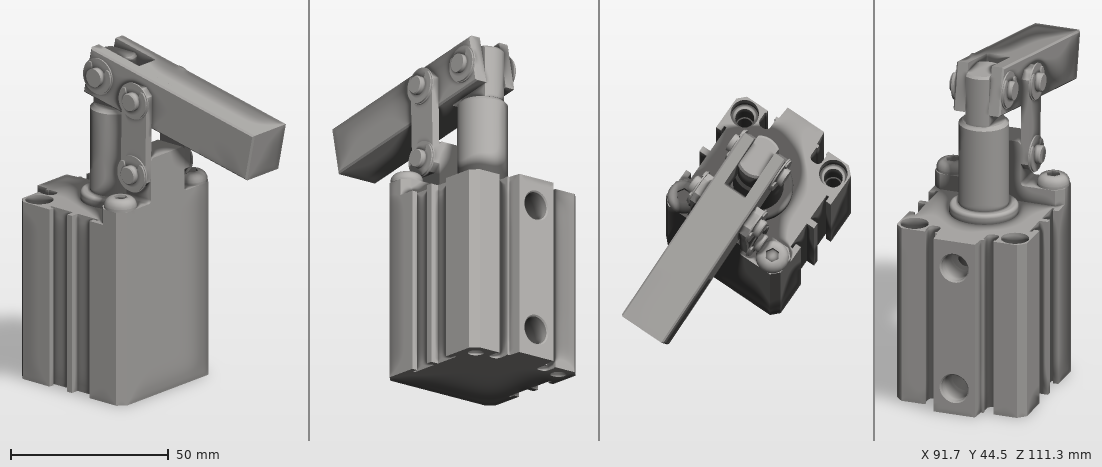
import cadquery as cq
import math


BODY_HALF = 22.0
BODY_HEIGHT = 59.4
BODY_CHAMFER = 2.5
BOLT_OFFSET = 17.0
PORT_FACE_X = -26.5
PORT_FACE_HALF = 7.0
PORT_ROOT_HALF = 7.3
PORT_HEIGHTS = (8.9, 50.3)
PORT_DIAMETER = 9.0
PORT_CHAMFER = 0.5
PORT_DEPTH = 9.8
DRILL_POINT_HALF_ANGLE = 59

T_SLOT_HALF_OPENING = 8.3
T_SLOT_HALF_WIDTH = 10.1
T_SLOT_DEPTH = 2.8
T_SLOT_LIP = 1.9
T_SLOT_RIB = 2.0

SENSOR_SLOT_Y = 9.9
SENSOR_SLOT_WIDTH = 4.1
SENSOR_SLOT_OPENING = 3.3
SENSOR_SLOT_LIP = 1.0
SENSOR_SLOT_DEPTH = 5.5
SENSOR_SLOT_RADIUS = 1.7

COUNTERBORE_DIAMETER = 9.0
COUNTERBORE_DEPTH = 7.0
THREAD_DIAMETER = 6.0
THREAD_DEPTH = 20.0
MOUNT_HOLE_DIAMETER = 5.1

BORE_DIAMETER = 32.0
BORE_BOTTOM = 9.6
BORE_TOP = 49.6
COLLAR_DIAMETER = 22.0
COLLAR_HEIGHT = 3.1
COLLAR_FILLET = 1.1

BRACKET_X = 11.7
BRACKET_TOP = 64.8
LUG_HALF_WIDTH = 8.0
LUG_TOP = 79.8
LUG_CHAMFER = 0.9
LUG_ROOT_FILLET = 1.1

HEAD_DIAMETER = 10.5
HEAD_HEIGHT = 3.5
HEAD_RIM = 0.8
SOCKET_ACROSS_FLATS = 4.0
SOCKET_DEPTH = 2.0

ROD_DIAMETER = 16.0
ROD_SHOULDER = 91.3
ROD_CHAMFER = 1.1
NECK_DIAMETER = 14.0
TONGUE_WIDTH = 7.8
TONGUE_TOP = 108.3
TONGUE_CHAMFER = 0.8

PIN_DIAMETER = 6.0
WASHER_DIAMETER = 12.0
CLIP_DIAMETER = 11.4
WASHER_THICKNESS = 0.5
CLIP_THICKNESS = 0.6
CLIP_SEAT_HALF = 2.6
CLIP_SEAT_TOP = 2.0
CLIP_HORN_HALF = 3.2
CLIP_HORN_TOP = 3.8

ARM_SIZE = 16.0
ARM_LENGTH = 70.0
ARM_TILT = 11.6
ARM_PIN_Z = 102.4
ARM_PIN_INSET = 5.1
ARM_PIN_HALF_LENGTH = 10.6
ARM_CHAMFER = 0.6
FORK_WIDTH = 8.0
FORK_DEPTH = 17.3
FORK_FILLET = 0.6

LUG_PIN = (16.8, 74.2)
LINK_PIN = (17.4, 98.8)
LINK_WIDTH = 10.2
LINK_END = 4.6
LINK_CORNER = 2.5
LINK_INNER_Y = LUG_HALF_WIDTH
LINK_THICKNESS = 2.8
LINK_OUTER_Y = LINK_INNER_Y + LINK_THICKNESS
LINK_PIN_HALF_LENGTH = 13.6
LINK_PIN_CHAMFER = 0.3

SIDES = (-1, 1)


def box(x0, x1, y0, y1, z0, z1):
    """Axis-aligned box between two opposite corners."""
    return cq.Workplane("XY").box(x1 - x0, y1 - y0, z1 - z0, centered=False).translate((x0, y0, z0))


def rod_along_z(diameter, z0, z1, x=0, y=0):
    """Vertical cylinder from z0 to z1."""
    return cq.Workplane("XY", origin=(x, y, z0)).circle(diameter / 2).extrude(z1 - z0)


def rod_along_y(diameter, x, z, y0, y1):
    """Cylinder parallel to Y from y0 to y1."""
    return cq.Workplane("XZ", origin=(x, y0, z)).circle(diameter / 2).extrude(y0 - y1)


def t_slot(side):
    """T-slot along the full height of one Y side, with its middle rib left standing."""

    def layer(half_width, depth_from, depth_to):
        near, far = sorted((side * (BODY_HALF - depth_from), side * (BODY_HALF - depth_to)))
        return box(-half_width, half_width, near, far, 0, BODY_HEIGHT)

    opening = layer(T_SLOT_HALF_OPENING, 0, T_SLOT_DEPTH)
    undercut = layer(T_SLOT_HALF_WIDTH, T_SLOT_LIP, T_SLOT_DEPTH)
    rib = layer(T_SLOT_RIB / 2, 0, T_SLOT_DEPTH)
    return opening.union(undercut).cut(rib)


def sensor_slot(side):
    """Round-cornered slot behind a narrower opening, along the full height of the port side."""
    center = side * SENSOR_SLOT_Y
    half = SENSOR_SLOT_WIDTH / 2
    half_opening = SENSOR_SLOT_OPENING / 2
    lip_x = SENSOR_SLOT_LIP - BODY_HALF
    floor_x = SENSOR_SLOT_DEPTH - BODY_HALF
    pocket = box(lip_x, floor_x, center - half, center + half, 0, BODY_HEIGHT)
    pocket = pocket.edges("|Z and >X").fillet(SENSOR_SLOT_RADIUS)
    return pocket.union(box(-BODY_HALF, lip_x, center - half_opening, center + half_opening, 0, BODY_HEIGHT))


def mounting_hole(side):
    """Stepped hole through the block: counterbore, thread and clearance."""
    center = (-BOLT_OFFSET, side * BOLT_OFFSET)
    hole = rod_along_z(MOUNT_HOLE_DIAMETER, 0, BODY_HEIGHT, *center)
    thread = rod_along_z(THREAD_DIAMETER, BODY_HEIGHT - THREAD_DEPTH, BODY_HEIGHT, *center)
    counterbore = rod_along_z(COUNTERBORE_DIAMETER, BODY_HEIGHT - COUNTERBORE_DEPTH, BODY_HEIGHT, *center)
    return hole.union(thread).union(counterbore)


def port(z):
    """Drilled port with a chamfered mouth and a conical end that breaks into the bore."""
    radius = PORT_DIAMETER / 2
    drill_point = radius / math.tan(math.radians(DRILL_POINT_HALF_ANGLE))
    return (
        cq.Workplane("XY")
        .moveTo(0, 0)
        .lineTo(0, radius + PORT_CHAMFER)
        .lineTo(PORT_CHAMFER, radius)
        .lineTo(PORT_DEPTH, radius)
        .lineTo(PORT_DEPTH + drill_point, 0)
        .close()
        .revolve(360, (0, 0, 0), (1, 0, 0))
        .translate((PORT_FACE_X, 0, z))
    )


def bracket():
    """Base plate with chamfered corners and the hinge lug standing on it."""
    base = box(BRACKET_X, BODY_HALF, -BODY_HALF, BODY_HALF, BODY_HEIGHT, BRACKET_TOP)
    base = base.edges("|Z").chamfer(BODY_CHAMFER)
    lug = box(BRACKET_X, BODY_HALF, -LUG_HALF_WIDTH, LUG_HALF_WIDTH, BODY_HEIGHT, LUG_TOP)
    lug = lug.edges("|X and >Z").chamfer(LUG_CHAMFER)
    reach = LUG_ROOT_FILLET
    root_edges = cq.selectors.BoxSelector(
        (BRACKET_X - reach, -LUG_HALF_WIDTH - reach, BRACKET_TOP - reach),
        (BODY_HALF + reach, LUG_HALF_WIDTH + reach, BRACKET_TOP + reach),
    )
    return base.union(lug).edges("|X").edges(root_edges).fillet(LUG_ROOT_FILLET)


def bolt_head(side):
    """Domed head with a hexagon socket."""
    center = (BOLT_OFFSET, side * BOLT_OFFSET)
    head = rod_along_z(HEAD_DIAMETER, BRACKET_TOP, BRACKET_TOP + HEAD_HEIGHT, *center)
    head = head.faces(">Z").edges().fillet(HEAD_HEIGHT - HEAD_RIM)
    across_corners = SOCKET_ACROSS_FLATS / math.cos(math.radians(30))
    socket = cq.Workplane("XY").polygon(6, across_corners).extrude(SOCKET_DEPTH)
    socket = socket.rotate((0, 0, 0), (0, 0, 1), 90)
    return head.cut(socket.translate((*center, BRACKET_TOP + HEAD_HEIGHT - SOCKET_DEPTH)))


def make_housing():
    """Cylinder block with its collar, hinge bracket and bolt heads."""
    block = box(-BODY_HALF, BODY_HALF, -BODY_HALF, BODY_HALF, 0, BODY_HEIGHT)
    block = block.edges("|Z").chamfer(BODY_CHAMFER)
    port_rib = (
        cq.Workplane("XY")
        .polyline([
            (PORT_FACE_X, -PORT_FACE_HALF),
            (-BODY_HALF, -PORT_ROOT_HALF),
            (0, -PORT_ROOT_HALF),
            (0, PORT_ROOT_HALF),
            (-BODY_HALF, PORT_ROOT_HALF),
            (PORT_FACE_X, PORT_FACE_HALF),
        ])
        .close()
        .extrude(BODY_HEIGHT)
    )
    collar = rod_along_z(COLLAR_DIAMETER, BODY_HEIGHT, BODY_HEIGHT + COLLAR_HEIGHT)
    collar = collar.faces(">Z").edges().fillet(COLLAR_FILLET)
    part = block.union(port_rib).union(collar).union(bracket())
    for side in SIDES:
        part = part.union(bolt_head(side))
        part = part.cut(t_slot(side)).cut(sensor_slot(side)).cut(mounting_hole(side))
    for z in PORT_HEIGHTS:
        part = part.cut(port(z))
    part = part.cut(rod_along_z(BORE_DIAMETER, BORE_BOTTOM, BORE_TOP))
    part = part.cut(rod_along_z(ROD_DIAMETER, BORE_TOP, BODY_HEIGHT + COLLAR_HEIGHT))
    lug_pin_x, lug_pin_z = LUG_PIN
    return part.cut(rod_along_y(PIN_DIAMETER, lug_pin_x, lug_pin_z, -LUG_HALF_WIDTH, LUG_HALF_WIDTH))


def make_rod():
    """Rod from the bore floor to the shoulder, ending in a flat-sided tongue for the arm."""
    shaft = rod_along_z(ROD_DIAMETER, BORE_BOTTOM, ROD_SHOULDER)
    shaft = shaft.faces(">Z").edges().chamfer(ROD_CHAMFER)
    neck = rod_along_z(NECK_DIAMETER, ROD_SHOULDER, TONGUE_TOP)
    neck = neck.faces(">Z").edges().chamfer(TONGUE_CHAMFER)
    half = TONGUE_WIDTH / 2
    flats = box(-NECK_DIAMETER, NECK_DIAMETER, -half, half, ROD_SHOULDER, TONGUE_TOP)
    part = shaft.union(neck.intersect(flats))
    return part.cut(rod_along_y(PIN_DIAMETER, 0, ARM_PIN_Z, -half, half))


def retaining_ring(z, seat, side):
    """Washer against the face at |Y| = seat, with an open clip on top of it, mouth upwards."""
    washer_outer = seat + WASHER_THICKNESS
    clip_outer = washer_outer + CLIP_THICKNESS
    washer = rod_along_y(WASHER_DIAMETER, 0, z, side * seat, side * washer_outer)
    clip = rod_along_y(CLIP_DIAMETER, 0, z, side * washer_outer, side * clip_outer)
    mouth = (
        cq.Workplane("XZ", origin=(0, side * washer_outer, z))
        .polyline([
            (-CLIP_SEAT_HALF, 0),
            (CLIP_SEAT_HALF, 0),
            (CLIP_SEAT_HALF, CLIP_SEAT_TOP),
            (CLIP_HORN_HALF, CLIP_HORN_TOP),
            (CLIP_DIAMETER, CLIP_HORN_TOP),
            (CLIP_DIAMETER, CLIP_DIAMETER),
            (-CLIP_DIAMETER, CLIP_DIAMETER),
            (-CLIP_DIAMETER, CLIP_HORN_TOP),
            (-CLIP_HORN_HALF, CLIP_HORN_TOP),
            (-CLIP_SEAT_HALF, CLIP_SEAT_TOP),
        ])
        .close()
        .extrude(-side * CLIP_THICKNESS)
    )
    return washer.union(clip.cut(mouth))


def add_rings(pin, z, seat):
    """Pin parallel to Y at height z, joined with a washer and clip at both ends."""
    for side in SIDES:
        pin = pin.union(retaining_ring(z, seat, side))
    return pin


def make_arm():
    """Forked square bar on its pin, tilted down from the rod towards its free end."""
    half = ARM_SIZE / 2
    half_fork = FORK_WIDTH / 2
    bar = box(-ARM_PIN_INSET, ARM_LENGTH - ARM_PIN_INSET, -half, half, -half, half)
    bar = bar.faces("<Y or >Y").edges().chamfer(ARM_CHAMFER)
    fork = box(-ARM_PIN_INSET, FORK_DEPTH - ARM_PIN_INSET, -half_fork, half_fork, -half, half)
    bar = bar.cut(fork.edges("|Z and >X").fillet(FORK_FILLET))
    rod_pin = rod_along_y(PIN_DIAMETER, 0, 0, -ARM_PIN_HALF_LENGTH, ARM_PIN_HALF_LENGTH)
    part = bar.union(add_rings(rod_pin, 0, half))
    part = part.rotate((0, 0, 0), (0, 1, 0), ARM_TILT).translate((0, 0, ARM_PIN_Z))
    link_pin_x, link_pin_z = LINK_PIN
    return part.cut(rod_along_y(PIN_DIAMETER, link_pin_x, link_pin_z, -half, half))


def link_plate(side, length):
    """Straight upright plate between two pin axes, with chamfered corners."""
    half = LINK_WIDTH / 2
    y0 = min(side * LINK_INNER_Y, side * LINK_OUTER_Y)
    plate = box(-half, half, y0, y0 + LINK_THICKNESS, -LINK_END, length + LINK_END)
    return plate.edges("|Y").chamfer(LINK_CORNER)


def make_links():
    """Pair of link plates joined by the lug pin and the arm pin, leaning from one pin to the other."""
    run = LINK_PIN[0] - LUG_PIN[0]
    rise = LINK_PIN[1] - LUG_PIN[1]
    length = math.hypot(run, rise)
    lean = math.degrees(math.atan2(run, rise))
    part = link_plate(-1, length).union(link_plate(1, length))
    for z in (0, length):
        pin = rod_along_y(PIN_DIAMETER, 0, z, -LINK_PIN_HALF_LENGTH, LINK_PIN_HALF_LENGTH)
        pin = pin.faces("<Y or >Y").edges().chamfer(LINK_PIN_CHAMFER)
        part = part.union(add_rings(pin, z, LINK_OUTER_Y))
    return part.rotate((0, 0, 0), (0, 1, 0), lean).translate((LUG_PIN[0], 0, LUG_PIN[1]))


housing = make_housing()
piston_rod = make_rod()
clamp_arm = make_arm()
links = make_links()

bodies = (housing, piston_rod, clamp_arm, links)
result = cq.Compound.makeCompound([body.solids().val() for body in bodies])